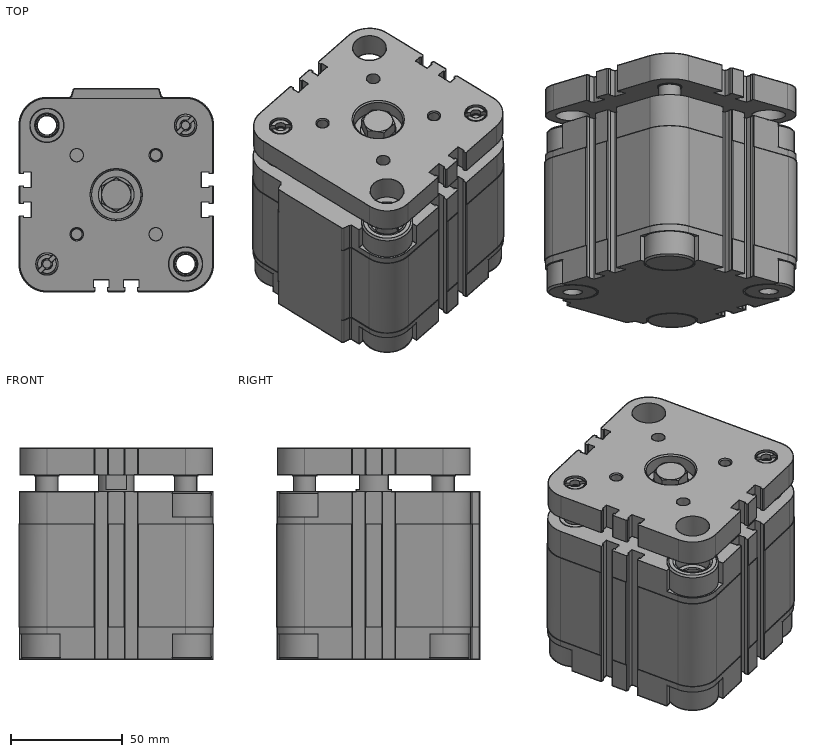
import cadquery as cq
import math


total_height = 94.5
housing_height = 75.0
plate_thickness = 12.0
plate_bottom = total_height - plate_thickness
barrel_bottom = 14.6
barrel_top = 60.5
rod_end = barrel_bottom

barrel_width = 87.0
barrel_half = barrel_width / 2
cap_half = 43.3
plate_half = 43.1
corner_centre = 31.0

slot_offset = 6.7
slot_mouth = 5.5
slot_width = 6.8
slot_floor = 38.1
slot_lip = 41.4
slot_chamfer = 0.5

block_outer_y = 47.4
block_base_half = 20.1
block_tip_half = 19.1
block_flare = 0.7
block_edge_radius = 0.85

post_diameter = 23.0
post_height = 11.4
post_chamfer = 0.85
post_wall = 25.0

screw_through = 8.6
screw_bore = 10.0
screw_bore_rim = 11.0
screw_bore_depth = 9.45
seat_diameter = 15.4
seat_depth = 7.5
seat_rim = 17.7
seat_rim_depth = 0.5

guide_diameter = 10.0
guide_collar_diameter = 11.0
guide_collar_height = 0.4
guide_sink = 0.5
guide_end_diameter = 8.4
guide_hole_diameter = 4.9
guide_hole_tip = 3.8
guide_hole_depth = 2.5
guide_tip_depth = 0.3
driver_slot_width = 2.0
bush_diameter = 14.0
bush_recess = 0.2

rod_diameter = 16.0
rod_flats = 13.0
rod_collar_top = 76.1
hex_flats = 13.0
hex_sink = 0.85
hex_chamfer = 0.6
rod_face_step = 0.4

access_hole = 15.0
centre_bore = 22.0
centre_bore_depth = 7.0
centre_chamfer = 0.7
thread_hole = 6.0
thread_core = 4.9
thread_offset = 17.7

cut_margin = 0.9

guide_points = [(corner_centre, corner_centre), (-corner_centre, -corner_centre)]
screw_points = [(-corner_centre, corner_centre), (corner_centre, -corner_centre)]
countersunk_threads = [(thread_offset, thread_offset), (-thread_offset, -thread_offset)]
plain_threads = [(-thread_offset, thread_offset), (thread_offset, -thread_offset)]


def disc(points, diameter, bottom, top):
    """Upright cylinders of one diameter at the given points."""
    return (
        cq.Workplane("XY").workplane(offset=bottom).pushPoints(points)
        .circle(diameter / 2).extrude(top - bottom)
    )


def cone(points, bottom_diameter, top_diameter, bottom, top):
    """Upright truncated cones at the given points."""
    cones = cq.Workplane("XY")
    for x, y in points:
        solid = cq.Solid.makeCone(
            bottom_diameter / 2, top_diameter / 2, top - bottom, cq.Vector(x, y, bottom)
        )
        cones = cones.add(solid)
    return cones.combine()


def rounded_square(half, bottom, top):
    """Square block with rounded upright corners."""
    return (
        cq.Workplane("XY").workplane(offset=bottom).rect(2 * half, 2 * half)
        .extrude(top - bottom).edges("|Z").fillet(half - corner_centre)
    )


def slots(half, bottom, top):
    """Two T-slots on each of the -X, +X and -Y sides of a square with the given half width."""
    half_width = slot_width / 2
    half_mouth = slot_mouth / 2
    outer = half + cut_margin
    half_outer = half_mouth + slot_chamfer + cut_margin
    tee = (
        cq.Workplane("XY").workplane(offset=bottom)
        .polyline([
            (slot_floor, -half_width),
            (slot_lip, -half_width),
            (slot_lip, -half_mouth),
            (half - slot_chamfer, -half_mouth),
            (outer, -half_outer),
            (outer, half_outer),
            (half - slot_chamfer, half_mouth),
            (slot_lip, half_mouth),
            (slot_lip, half_width),
            (slot_floor, half_width),
        ])
        .close().extrude(top - bottom)
    )
    pair = tee.translate((0, -slot_offset, 0)).union(tee.translate((0, slot_offset, 0)))
    cutters = cq.Workplane("XY")
    for angle in (180, 0, -90):
        cutters = cutters.add(pair.rotate((0, 0, 0), (0, 0, 1), angle))
    return cutters.combine()


def port_block(half, bottom, top):
    """Length of the tapered, flared port block on the +Y side of a square of the given half width."""
    base_half = block_base_half - (barrel_half - half)
    tip_half = block_tip_half - (barrel_half - half)
    foot_half = base_half + block_flare
    return (
        cq.Workplane("XY").workplane(offset=bottom)
        .polyline([
            (-foot_half, 0),
            (-foot_half, half),
            (-base_half, half + block_flare),
            (-tip_half, block_outer_y),
            (tip_half, block_outer_y),
            (base_half, half + block_flare),
            (foot_half, half),
            (foot_half, 0),
        ])
        .close().extrude(top - bottom)
        .edges("|Z and >Y").fillet(block_edge_radius)
    )


def post_recess(x, y):
    """Cutter for the bottom end of one corner: it leaves a round post with a bevelled rim."""
    size = cap_half + cut_margin - post_wall
    middle = post_wall + size / 2
    corner = (
        cq.Workplane("XY").box(size, size, post_height, centered=(True, True, False))
        .translate((math.copysign(middle, x), math.copysign(middle, y), 0))
    )
    corner = corner.cut(disc([(x, y)], post_diameter, 0, post_height))
    rim_diameter = post_diameter - 2 * post_chamfer
    bevel = disc([(x, y)], post_diameter, 0, post_chamfer)
    bevel = bevel.cut(cone([(x, y)], rim_diameter, post_diameter, 0, post_chamfer))
    return corner.union(bevel)


def cut_screw_holes(body):
    """Stepped through holes for the mounting screws, each below a countersunk seat."""
    rim_floor = housing_height - seat_rim_depth
    seat_floor = housing_height - seat_depth
    bevel_floor = seat_floor - (screw_bore_rim - screw_bore) / 2
    bore_floor = seat_floor - screw_bore_depth
    body = body.cut(cone(screw_points, seat_diameter, seat_rim, rim_floor, housing_height))
    body = body.cut(disc(screw_points, seat_diameter, seat_floor, housing_height))
    body = body.cut(cone(screw_points, screw_bore, screw_bore_rim, bevel_floor, seat_floor))
    body = body.cut(disc(screw_points, screw_bore, bore_floor, seat_floor))
    return body.cut(disc(screw_points, screw_through, 0, bore_floor))


def make_housing():
    body = rounded_square(cap_half, 0, housing_height)
    body = body.union(rounded_square(barrel_half, barrel_bottom, barrel_top))
    body = body.union(port_block(cap_half, 0, housing_height))
    body = body.union(port_block(barrel_half, barrel_bottom, barrel_top))
    body = body.cut(slots(barrel_half, 0, housing_height))

    for x, y in guide_points + screw_points:
        body = body.cut(post_recess(x, y))
    for x, y in screw_points:
        body = body.cut(post_recess(x, y).mirror("XY").translate((0, 0, housing_height)))

    body = cut_screw_holes(body)
    body = body.cut(disc(guide_points, bush_diameter, housing_height - bush_recess, housing_height))
    body = body.cut(disc(guide_points, guide_diameter, rod_end, housing_height))
    return body.cut(disc([(0, 0)], rod_diameter, rod_end, housing_height))


def make_plate():
    plate = rounded_square(plate_half, plate_bottom, total_height)
    plate = plate.cut(slots(plate_half, plate_bottom, total_height))
    plate = plate.cut(disc(screw_points, access_hole, plate_bottom, total_height))
    plate = plate.cut(disc(guide_points, guide_diameter, plate_bottom, total_height))

    plate = plate.cut(disc(plain_threads, thread_hole, plate_bottom, total_height))
    plate = plate.cut(disc(countersunk_threads, thread_core, plate_bottom, total_height))
    countersink_depth = (thread_hole - thread_core) / 2
    plate = plate.cut(
        cone(countersunk_threads, thread_core, thread_hole, total_height - countersink_depth, total_height)
    )

    bore_rim = centre_bore + 2 * centre_chamfer
    plate = plate.cut(disc([(0, 0)], centre_bore, total_height - centre_bore_depth, total_height))
    return plate.cut(cone([(0, 0)], centre_bore, bore_rim, total_height - centre_chamfer, total_height))


def make_piston_rod():
    rod_top = total_height - centre_bore_depth + rod_face_step
    rod = disc([(0, 0)], rod_diameter, rod_end, rod_top)
    side_width = (rod_diameter - rod_flats) / 2
    for side in (-1, 1):
        flat = (
            cq.Workplane("XY").workplane(offset=rod_collar_top)
            .center(0, side * (rod_flats + side_width) / 2)
            .rect(rod_diameter, side_width).extrude(plate_bottom - rod_collar_top)
        )
        rod = rod.cut(flat)

    hex_top = total_height - hex_sink
    hexagon = (
        cq.Workplane("XY").workplane(offset=rod_top)
        .polygon(6, hex_flats, circumscribed=True).extrude(hex_top - rod_top)
    )
    turned_end = disc([(0, 0)], rod_diameter, rod_top, hex_top).faces(">Z").chamfer(
        hex_chamfer, (rod_diameter - hex_flats) / 2
    )
    return rod.union(hexagon.intersect(turned_end))


def make_guide_rod(x, y):
    rod_top = total_height - guide_sink
    socket_floor = rod_top - guide_hole_depth
    end_chamfer = (guide_diameter - guide_end_diameter) / 2
    rod = disc([(0, 0)], guide_diameter, rod_end, rod_top).faces(">Z").chamfer(end_chamfer)
    collar_bottom = plate_bottom - guide_collar_height
    rod = rod.union(disc([(0, 0)], guide_collar_diameter, collar_bottom, plate_bottom))
    rod = rod.cut(disc([(0, 0)], guide_hole_diameter, socket_floor, rod_top))
    rod = rod.cut(disc([(0, 0)], guide_hole_tip, socket_floor - guide_tip_depth, socket_floor))
    driver_slot = (
        cq.Workplane("XY").workplane(offset=socket_floor)
        .rect(guide_diameter, driver_slot_width).extrude(guide_hole_depth)
        .rotate((0, 0, 0), (0, 0, 1), 45)
    )
    return rod.cut(driver_slot).translate((x, y, 0))


def make_slide():
    body = make_plate().union(make_piston_rod())
    for x, y in guide_points:
        body = body.union(make_guide_rod(x, y))
    return body


housing = make_housing()
slide = make_slide()

result = cq.Compound.makeCompound([housing.solids().val(), slide.solids().val()])